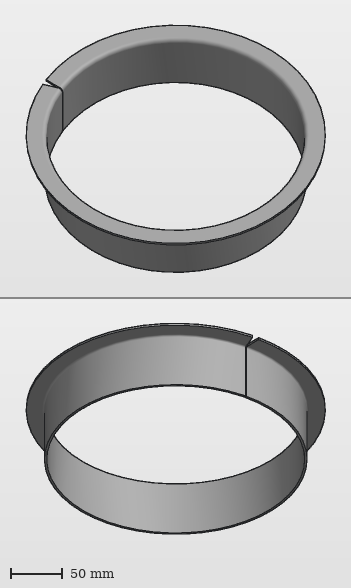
import cadquery as cq
import math

flange_radius = 145.0
height = 60.0
sheet = 2.3
wall_outer_radius = 127.3
bend_inner_radius = 2.0
split_angle = 1.9
slit_width = 1.0
notch_width = 7.0
straight_length = 4.0

wall_inner_radius = wall_outer_radius - sheet
bend_outer_radius = bend_inner_radius + sheet
bend_center_radius = wall_outer_radius + bend_inner_radius
bend_center_z = height - bend_outer_radius
diagonal = math.sqrt(0.5)


def bent_section():
    """Bent-sheet section on the -X side: upright wall, bend, flat flange."""

    def bend_point(radius):
        return (-bend_center_radius + radius * diagonal, bend_center_z + radius * diagonal)

    return (
        cq.Workplane("XZ")
        .moveTo(-wall_inner_radius, 0)
        .lineTo(-wall_outer_radius, 0)
        .lineTo(-wall_outer_radius, bend_center_z)
        .threePointArc(bend_point(bend_inner_radius), (-bend_center_radius, height - sheet))
        .lineTo(-flange_radius, height - sheet)
        .lineTo(-flange_radius, height)
        .lineTo(-bend_center_radius, height)
        .threePointArc(bend_point(bend_outer_radius), (-wall_inner_radius, bend_center_z))
        .close()
    )


def flanged_ring():
    """Ring rolled from the -X axis round to the split, plus a short straight end tangent to it."""
    rolled = bent_section().revolve(360 - split_angle, (0, 0, 0), (0, -1, 0))
    straight_end = bent_section().extrude(straight_length)
    return rolled.union(straight_end)


def split_cutter():
    """Narrow slit through the wall and bend, opening into a V across the flange."""
    clearance = 3.0
    slit_start = wall_inner_radius - clearance
    cut_end = flange_radius + clearance
    half_slit = slit_width / 2
    half_notch = notch_width / 2
    outline = [
        (-slit_start, -half_slit),
        (-bend_center_radius, -half_slit),
        (-flange_radius, -half_notch),
        (-cut_end, -half_notch),
        (-cut_end, half_notch),
        (-flange_radius, half_notch),
        (-bend_center_radius, half_slit),
        (-slit_start, half_slit),
    ]
    cutter = cq.Workplane("XY").polyline(outline).close().extrude(height)
    return cutter.rotate((0, 0, 0), (0, 0, 1), split_angle)


result = flanged_ring().cut(split_cutter())